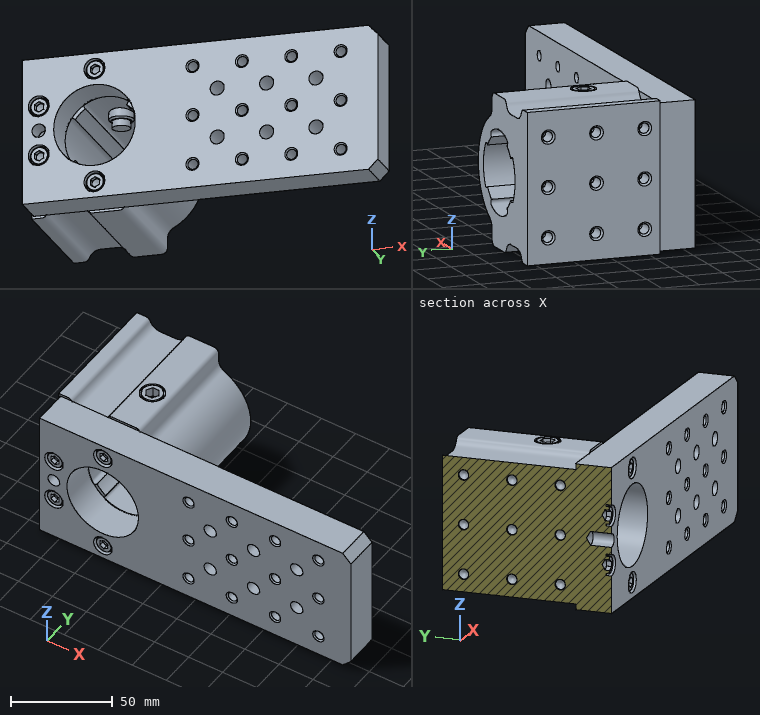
import cadquery as cq
import math

part_length = 184.2
plate_left = 1.1
plate_height = 75.0
plate_thick = 19.0
corner_chamfer = 4.8
rod_hole_radius = 21.0

pitch = 25.5
grid_start_x = 88.8
grid_columns = 4
grid_rows = 3
tap_diameter = 5.2
tap_mouth_diameter = 6.6
clearance_diameter = 7.2

clamp_front = plate_thick
clamp_back = 89.0
clamp_height = 77.5
rod_x = 38.3
barrel_radius = 28.7
relief_radius = 21.5
pad_radius = 19.0
pad_width = 7.4
pad_foot_round = 1.8
pad_count = 4
first_pad_angle = 45

lip_width = 5.2
boss_half_width = 6.8
channel_depth = 5.9
crest_round = 3.1
scoop_round = 6.3

side_tap_columns = 3
side_tap_mouth_diameter = 7.2
side_tap_inset = 11.0
side_tap_depth = 10.1

screw_reach_z = 29.3
screw_column_x = 9.5
head_bore_radius = 5.3
head_bore_depth = 3.0
head_radius = 4.6
head_recess = 1.0
head_chamfer = 0.4
head_socket = 5.3
head_socket_depth = 2.5
locating_diameter = 6.8
locating_depth = 11.0

clamp_screw_y = 44.5
screw_bore_radius = 6.5
screw_face_radius = 5.5
screw_bore_depth = 1.0
screw_socket = 7.4
screw_socket_depth = 5.5
tip_flange_radius = 6.3
tip_flange_z = 16.4
tip_flange_chamfer = 1.0
tip_radius = 4.6
tip_end_z = 12.9

DRILL_POINT_ANGLE = 118.0


def cylinder(x, y, z, radius, length, direction):
    return cq.Solid.makeCylinder(radius, length, cq.Vector(x, y, z), cq.Vector(*direction))


def drilled(x, y, z, diameter, depth, direction):
    """Blind hole with a conical drill point."""
    radius = diameter / 2
    point = radius / math.tan(math.radians(DRILL_POINT_ANGLE / 2))
    start = cq.Vector(x, y, z)
    way = cq.Vector(*direction)
    barrel = cq.Solid.makeCylinder(radius, depth, start, way)
    return barrel.fuse(cq.Solid.makeCone(radius, 0, point, start + way * depth, way))


def countersink(x, y, z, mouth_diameter, diameter, direction):
    """45 degree mouth that narrows to the hole diameter."""
    depth = (mouth_diameter - diameter) / 2
    return cq.Solid.makeCone(
        mouth_diameter / 2, diameter / 2, depth, cq.Vector(x, y, z), cq.Vector(*direction)
    )


def make_plate():
    plate = (
        cq.Workplane("XY")
        .box(part_length - plate_left, plate_thick, plate_height, centered=(False, False, True))
        .translate((plate_left, 0, 0))
        .edges(">X and |Y")
        .chamfer(corner_chamfer)
    )
    plate = plate.cut(cylinder(rod_x, 0, 0, rod_hole_radius, plate_thick, (0, 1, 0)))
    for column in range(grid_columns):
        x = grid_start_x + column * pitch
        for row in range(grid_rows):
            z = (row - (grid_rows - 1) / 2) * pitch
            plate = plate.cut(cylinder(x, 0, z, tap_diameter / 2, plate_thick, (0, 1, 0)))
            plate = plate.cut(countersink(x, 0, z, tap_mouth_diameter, tap_diameter, (0, 1, 0)))
    for column in range(grid_columns - 1):
        x = grid_start_x + (column + 0.5) * pitch
        for z in (-pitch / 2, pitch / 2):
            plate = plate.cut(cylinder(x, 0, z, clearance_diameter / 2, plate_thick, (0, 1, 0)))
    return plate


def clamp_half_profile():
    """Upper half of the clamp section in XZ, every arc tangent to its neighbours."""
    top = clamp_height / 2
    floor = top - channel_depth
    boss_left = rod_x - boss_half_width
    boss_right = rod_x + boss_half_width

    turn = math.acos(1 - channel_depth / (crest_round + scoop_round))

    def on_crest(angle, direction, edge):
        return (
            edge + direction * crest_round * math.sin(angle),
            top - crest_round * (1 - math.cos(angle)),
        )

    def on_scoop(angle, direction, foot):
        return (
            foot - direction * scoop_round * math.sin(angle),
            floor + scoop_round * (1 - math.cos(angle)),
        )

    wall_run = (crest_round + scoop_round) * math.sin(turn)
    foot_left = lip_width + wall_run
    foot_right = boss_left - wall_run

    wall_x = boss_right + crest_round
    scoop_x = wall_x + scoop_round
    barrel_angle = math.acos((scoop_x - rod_x) / (barrel_radius + scoop_round))
    scoop_z = (barrel_radius + scoop_round) * math.sin(barrel_angle)
    scoop_mid_angle = math.pi + barrel_angle / 2
    scoop_mid = (
        scoop_x + scoop_round * math.cos(scoop_mid_angle),
        scoop_z + scoop_round * math.sin(scoop_mid_angle),
    )

    def on_barrel(angle):
        return (rod_x + barrel_radius * math.cos(angle), barrel_radius * math.sin(angle))

    return (
        cq.Workplane("XZ")
        .lineTo(0, top)
        .lineTo(lip_width, top)
        .threePointArc(on_crest(turn / 2, 1, lip_width), on_crest(turn, 1, lip_width))
        .threePointArc(on_scoop(turn / 2, 1, foot_left), (foot_left, floor))
        .lineTo(foot_right, floor)
        .threePointArc(on_scoop(turn / 2, -1, foot_right), on_scoop(turn, -1, foot_right))
        .threePointArc(on_crest(turn / 2, -1, boss_left), (boss_left, top))
        .lineTo(boss_right, top)
        .threePointArc(on_crest(math.pi / 4, 1, boss_right), (wall_x, top - crest_round))
        .lineTo(wall_x, scoop_z)
        .threePointArc(scoop_mid, on_barrel(barrel_angle))
        .threePointArc(on_barrel(barrel_angle / 2), on_barrel(0))
        .close()
    )


def make_clamp_bore(length):
    """Relief bore minus four rod pads on the diagonals, running toward +Y from the origin."""
    bore = cq.Workplane("XZ").circle(relief_radius).extrude(-length)
    pad_reach = (pad_radius + relief_radius) / 2
    for index in range(pad_count):
        pad = (
            cq.Workplane("XZ")
            .center(pad_reach, 0)
            .rect(2 * (relief_radius - pad_radius), pad_width)
            .extrude(-length)
            .cut(cq.Workplane("XZ").circle(pad_radius).extrude(-length))
            .rotate((0, 0, 0), (0, 1, 0), first_pad_angle + index * 360 / pad_count)
        )
        bore = bore.cut(pad)

    def is_pad_foot(edge):
        middle = edge.Center()
        off_axes = min(abs(middle.x), abs(middle.z)) > pad_width
        return off_axes and math.hypot(middle.x, middle.z) > pad_reach

    return bore.edges("|Y").filter(is_pad_foot).fillet(pad_foot_round)


def make_clamp():
    length = clamp_back - clamp_front
    upper = clamp_half_profile().extrude(-length)
    clamp = upper.union(upper.mirror("XY")).translate((0, clamp_front, 0))
    clamp = clamp.cut(make_clamp_bore(length).translate((rod_x, clamp_front, 0)))
    for column in range(side_tap_columns):
        y = clamp_back - side_tap_inset - column * pitch
        for row in range(grid_rows):
            z = (row - (grid_rows - 1) / 2) * pitch
            clamp = clamp.cut(cq.Workplane(drilled(0, y, z, tap_diameter, side_tap_depth, (1, 0, 0))))
            clamp = clamp.cut(countersink(0, y, z, side_tap_mouth_diameter, tap_diameter, (1, 0, 0)))
    return clamp


def hex_socket(corner_diameter, depth):
    """Hexagonal recess with a drilled cone bottom, sinking along -Z from the origin."""
    across_flats = corner_diameter * math.cos(math.pi / 6)
    hexagon = cq.Workplane("XY").polygon(6, corner_diameter).extrude(-depth)
    return hexagon.union(cq.Workplane(drilled(0, 0, 0, across_flats, depth, (0, 0, -1))))


def add_plate_screw(body, x, z):
    """Socket-head screw recessed in its counterbore."""
    head = (
        cq.Workplane("XZ", origin=(x, head_recess, z))
        .circle(head_radius)
        .extrude(-(head_bore_depth - head_recess))
        .faces("<Y")
        .chamfer(head_chamfer)
    )
    socket = hex_socket(head_socket, head_socket_depth)
    socket = socket.rotate((0, 0, 0), (0, 0, 1), 30).rotate((0, 0, 0), (1, 0, 0), 90)
    socket = socket.translate((x, head_recess, z))
    body = body.cut(cylinder(x, 0, z, head_bore_radius, head_bore_depth, (0, 1, 0)))
    return body.union(head).cut(socket)


def add_clamp_screw(body):
    top = clamp_height / 2
    ring = (
        cq.Workplane("XY", origin=(rod_x, clamp_screw_y, top))
        .circle(screw_bore_radius)
        .circle(screw_face_radius)
        .extrude(-screw_bore_depth)
    )
    socket = hex_socket(screw_socket, screw_socket_depth).translate((rod_x, clamp_screw_y, top))
    wall_z = (relief_radius + barrel_radius) / 2
    down = (0, 0, -1)
    flange = (
        cq.Workplane("XY", origin=(rod_x, clamp_screw_y, wall_z))
        .circle(tip_flange_radius)
        .extrude(tip_flange_z - wall_z)
        .faces("<Z")
        .chamfer(tip_flange_chamfer)
    )
    tip = cylinder(rod_x, clamp_screw_y, wall_z, tip_radius, wall_z - tip_end_z, down)
    return body.cut(ring).cut(socket).union(flange).union(cq.Workplane(tip))


result = make_plate().union(make_clamp())
for side in (-1, 1):
    result = add_plate_screw(result, rod_x, side * screw_reach_z)
    result = add_plate_screw(result, screw_column_x, side * pitch / 2)
result = result.cut(
    cq.Workplane(drilled(screw_column_x, 0, 0, locating_diameter, locating_depth, (0, 1, 0)))
)
result = add_clamp_screw(result)